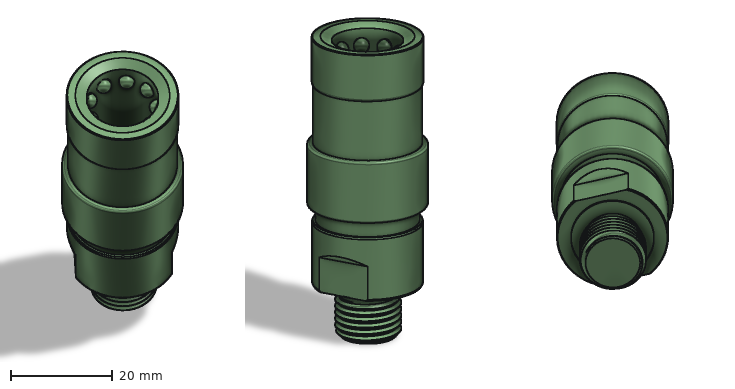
import cadquery as cq
import math

TOTAL_HEIGHT = 62.65
THREAD_TOP = 8.5
PAD_BOTTOM = 10.6
BASE_BOTTOM = 10.95
BASE_TOP = 24.25
COLLAR_BOTTOM = 27.55
COLLAR_TOP = 40.4
HEAD_BOTTOM = 52.6

PAD_RADIUS = 8.2
BASE_RADIUS = 11.0
NECK_RADIUS = 10.35
COLLAR_DIAMETER = 24.0
COLLAR_RADIUS = COLLAR_DIAMETER / 2
SLEEVE_RADIUS = 10.85
HEAD_RADIUS = 11.1

COLLAR_FILLET = 0.45
BASE_EDGE_HEIGHT = 0.4
BASE_EDGE_DEPTH = 0.2
HEAD_TOP_CHAMFER = 0.2
HEAD_BOTTOM_FILLET = 0.6

BORE_DIAMETER = 14.2
BORE_RADIUS = BORE_DIAMETER / 2
BORE_FLOOR = COLLAR_TOP
MOUTH_RADIUS = 9.35
MOUTH_DEPTH = 0.8
BALL_COUNT = 9
BALL_RADIUS = 1.55
BALL_CIRCLE_RADIUS = 6.9
BALL_LEVEL = 58.3
FIRST_BALL_ANGLE = 90.0

FLAT_ANGLE = 50.0
FLAT_DISTANCE = 9.5
FLAT_TOP = 18.2

STUD_OFFSET = 0.25
ROOT_RADIUS = 5.7
CREST_RADIUS = 6.6
TIP_RADIUS = 5.4
THREAD_TURNS = 6
THREAD_LENGTH = 8.0
THREAD_PITCH = THREAD_LENGTH / THREAD_TURNS
THREAD_START_ANGLE = -50.0
RIDGE_OVERLAP = 0.1
CREST_CLEARANCE = 0.3
RIDGE_HALF_WIDTH = 0.595
CREST_HALF_WIDTH = 0.05


def cylinder(radius, bottom, top):
    """Round section on the main axis between two levels."""
    return cq.Workplane("XY").workplane(offset=bottom).circle(radius).extrude(top - bottom)


def make_base():
    """Round base with two opposite wrench flats that run out at 45 degrees."""
    base = cylinder(BASE_RADIUS, BASE_BOTTOM, BASE_TOP)
    for rim in ("<Z", ">Z"):
        base = base.faces(rim).chamfer(BASE_EDGE_HEIGHT, BASE_EDGE_DEPTH)
    reach = 2 * BASE_RADIUS
    run_out = reach - FLAT_DISTANCE
    flat_cut = (
        cq.Workplane("XZ")
        .moveTo(FLAT_DISTANCE, 0)
        .lineTo(reach, 0)
        .lineTo(reach, FLAT_TOP + run_out)
        .lineTo(FLAT_DISTANCE, FLAT_TOP)
        .close()
        .extrude(BASE_RADIUS, both=True)
    )
    for angle in (FLAT_ANGLE, FLAT_ANGLE + 180):
        base = base.cut(flat_cut.rotate((0, 0, 0), (0, 0, 1), angle))
    return base


def make_body():
    """Stack of base, neck, collar, sleeve and head."""
    head = cylinder(HEAD_RADIUS, HEAD_BOTTOM, TOTAL_HEIGHT)
    head = head.faces(">Z").chamfer(HEAD_TOP_CHAMFER)
    head = head.faces("<Z").edges().fillet(HEAD_BOTTOM_FILLET)
    collar = cylinder(COLLAR_RADIUS, COLLAR_BOTTOM, COLLAR_TOP).edges().fillet(COLLAR_FILLET)
    return (
        make_base()
        .union(cylinder(PAD_RADIUS, PAD_BOTTOM, BASE_TOP - BASE_EDGE_HEIGHT))
        .union(cylinder(NECK_RADIUS, BASE_TOP - BASE_EDGE_HEIGHT, COLLAR_TOP))
        .union(collar)
        .union(cylinder(SLEEVE_RADIUS, COLLAR_BOTTOM, TOTAL_HEIGHT - HEAD_TOP_CHAMFER))
        .union(head)
    )


def make_socket():
    """Blind bore with a conical mouth."""
    mouth_bottom = TOTAL_HEIGHT - MOUTH_DEPTH
    return (
        cq.Workplane("XZ")
        .moveTo(0, BORE_FLOOR)
        .lineTo(BORE_RADIUS, BORE_FLOOR)
        .lineTo(BORE_RADIUS, mouth_bottom)
        .lineTo(MOUTH_RADIUS, TOTAL_HEIGHT)
        .lineTo(0, TOTAL_HEIGHT)
        .close()
        .revolve(360, (0, 0), (0, 1))
    )


def make_balls():
    """Ring of locking balls standing out of the bore wall."""
    return (
        cq.Workplane("XY")
        .workplane(offset=BALL_LEVEL)
        .polarArray(BALL_CIRCLE_RADIUS, FIRST_BALL_ANGLE, 360, BALL_COUNT)
        .sphere(BALL_RADIUS)
    )


def make_thread_ridge():
    """Untrimmed helical ridge, reaching one pitch past each end of the thread."""
    bottom = -THREAD_PITCH
    height = THREAD_TOP + 2 * THREAD_PITCH
    inner_radius = ROOT_RADIUS - RIDGE_OVERLAP
    helix = cq.Wire.makeHelix(THREAD_PITCH, height, inner_radius)
    ridge = (
        cq.Workplane("XZ")
        .moveTo(inner_radius, -RIDGE_HALF_WIDTH)
        .lineTo(CREST_RADIUS, -CREST_HALF_WIDTH)
        .lineTo(CREST_RADIUS, CREST_HALF_WIDTH)
        .lineTo(inner_radius, RIDGE_HALF_WIDTH)
        .close()
        .sweep(cq.Workplane(helix), isFrenet=True)
    )
    return ridge.rotate((0, 0, 0), (0, 0, 1), THREAD_START_ANGLE).translate((0, 0, bottom))


def make_stud():
    """Threaded stud with a tapered tip and a tapered thread start."""
    clear_radius = CREST_RADIUS + CREST_CLEARANCE
    envelope = (
        cq.Workplane("XZ")
        .lineTo(TIP_RADIUS, 0)
        .lineTo(clear_radius, clear_radius - TIP_RADIUS)
        .lineTo(clear_radius, THREAD_TOP - (clear_radius - ROOT_RADIUS))
        .lineTo(ROOT_RADIUS, THREAD_TOP)
        .lineTo(0, THREAD_TOP)
        .close()
        .revolve(360, (0, 0), (0, 1))
    )
    core = cylinder(ROOT_RADIUS, 0, BASE_BOTTOM).faces("<Z").chamfer(ROOT_RADIUS - TIP_RADIUS)
    stud = core.union(make_thread_ridge().intersect(envelope))
    direction = math.radians(FLAT_ANGLE)
    return stud.translate((STUD_OFFSET * math.cos(direction), STUD_OFFSET * math.sin(direction), 0))


result = make_body().cut(make_socket()).union(make_balls()).union(make_stud())